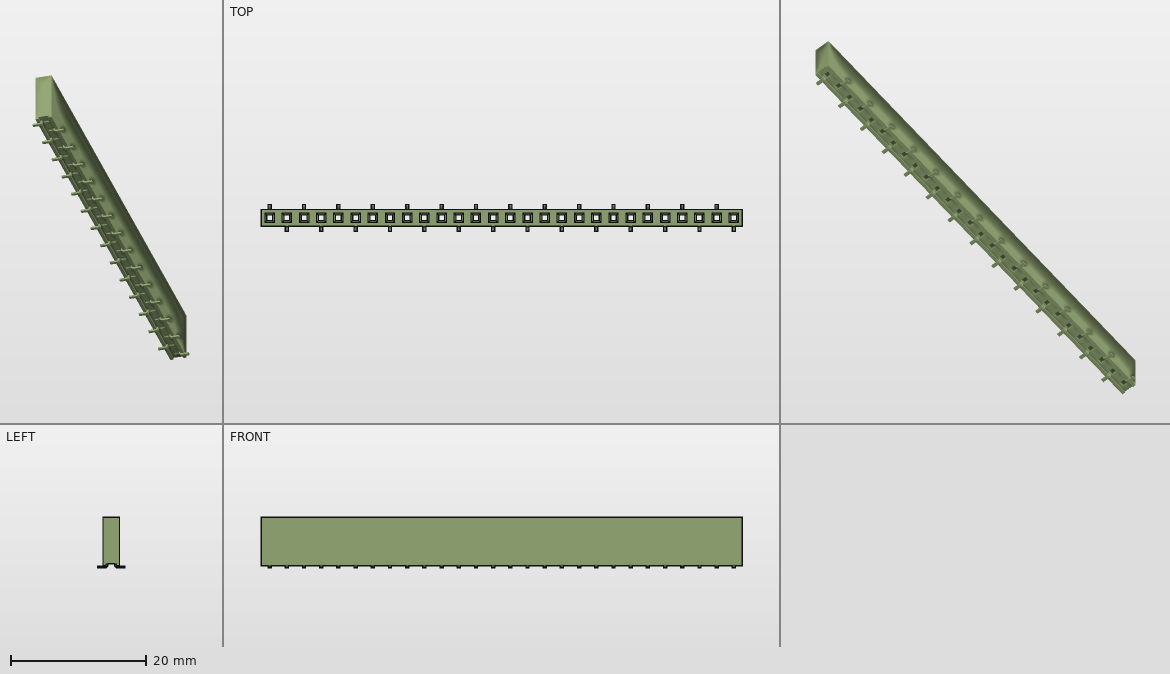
import cadquery as cq

socket_count = 28
pitch = 2.54
total_height = 7.5

body_length = socket_count * pitch
body_width = 2.5
standoff = 0.3

channel_width = 1.5
channel_depth = 0.3
channel_ceiling = standoff + channel_depth

socket_width = 0.8
funnel_width = 1.4
funnel_depth = (funnel_width - socket_width) / 2

lead_reach = 2.0
lead_width = 0.5
lead_thickness = 0.25
lead_bend_radius = 0.4
inner_bend_radius = lead_bend_radius - lead_thickness

socket_positions = [
    ((index - (socket_count - 1) / 2) * pitch, 0) for index in range(socket_count)
]


def make_body():
    """Rectangular housing with a channel open along the whole underside."""
    height = total_height - standoff
    housing = cq.Workplane("XY", origin=(0, 0, standoff)).box(
        body_length, body_width, height, centered=(True, True, False)
    )
    channel = cq.Workplane("XY", origin=(0, 0, standoff)).box(
        body_length, channel_width, channel_depth, centered=(True, True, False)
    )
    return housing.cut(channel)


def cut_sockets(body):
    """Square through openings, each with a 45 degree lead-in at the top."""
    top = cq.Workplane("XY", origin=(0, 0, total_height))
    openings = top.pushPoints(socket_positions).rect(socket_width, socket_width).extrude(-total_height)
    funnel = (
        top.rect(funnel_width, funnel_width)
        .workplane(offset=-funnel_depth)
        .rect(socket_width, socket_width)
        .loft(ruled=True)
        .val()
    )
    funnels = [funnel.translate(cq.Vector(x, y, 0)) for x, y in socket_positions]
    return body.cut(openings).cut(cq.Workplane(cq.Compound.makeCompound(funnels)))


def make_lead(x, side):
    """Bent lead: upright against the channel wall, foot running outward on the solder plane."""
    wall = channel_width / 2
    inner = wall - lead_thickness
    profile = (
        cq.Workplane("YZ", origin=(x, 0, 0))
        .moveTo(side * lead_reach, 0)
        .lineTo(side * (inner + lead_bend_radius), 0)
        .radiusArc((side * inner, lead_bend_radius), side * lead_bend_radius)
        .lineTo(side * inner, channel_ceiling)
        .lineTo(side * wall, channel_ceiling)
        .lineTo(side * wall, lead_bend_radius)
        .radiusArc((side * (inner + lead_bend_radius), lead_thickness), -side * inner_bend_radius)
        .lineTo(side * lead_reach, lead_thickness)
        .close()
    )
    return profile.extrude(lead_width / 2, both=True)


def add_leads(body):
    """One lead per socket, on alternating sides starting with +Y."""
    for index, (x, _) in enumerate(socket_positions):
        side = 1 if index % 2 == 0 else -1
        body = body.union(make_lead(x, side))
    return body


result = add_leads(cut_sockets(make_body()))